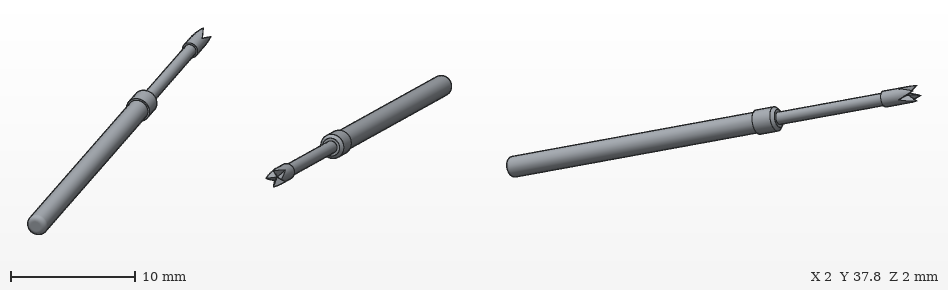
import cadquery as cq
import math

total_length = 37.8
front_y = total_length / 2
back_y = -front_y

barrel_length = 25.0
barrel_radius = 1.7 / 2
collar_radius = 2.0 / 2
collar_length = 1.93
collar_chamfer = 0.25
end_round_radius = 0.4

rod_radius = 1.02 / 2
head_radius = 1.32 / 2
head_length = 3.0

point_count = 4
crown_centre_depth = 0.85
crown_valley_depth = 1.45

collar_front_y = back_y + barrel_length
collar_back_y = collar_front_y - collar_length
shoulder_y = front_y - head_length


def turned_body():
    """Barrel, collar, rod and plain head, as a half profile (radius, y) revolved about Y."""
    arc_offset = end_round_radius * (1 - math.sqrt(0.5))
    chamfer_y = collar_front_y - collar_chamfer
    profile = (
        cq.Workplane("XY")
        .moveTo(0, back_y)
        .lineTo(barrel_radius - end_round_radius, back_y)
        .threePointArc(
            (barrel_radius - arc_offset, back_y + arc_offset),
            (barrel_radius, back_y + end_round_radius),
        )
        .lineTo(barrel_radius, collar_back_y)
        .lineTo(collar_radius, collar_back_y)
        .lineTo(collar_radius, chamfer_y)
        .lineTo(collar_radius - collar_chamfer, collar_front_y)
        .lineTo(rod_radius, collar_front_y)
        .lineTo(rod_radius, shoulder_y)
        .lineTo(head_radius, shoulder_y)
        .lineTo(head_radius, front_y)
        .lineTo(0, front_y)
        .close()
    )
    return profile.revolve(360, (0, 0, 0), (0, 1, 0))


def crown_groove(angle):
    """V groove whose floor falls from the crown centre outwards at the given angle about Y."""
    floor_drop = crown_valley_depth - crown_centre_depth
    floor_slope = floor_drop / head_radius
    half_step = math.pi / point_count
    ridge_slope = crown_centre_depth / head_radius
    wall_slope = (ridge_slope + floor_slope * math.cos(half_step)) / math.sin(half_step)

    floor_angle = math.atan(floor_slope)
    wall_height = 3 * crown_valley_depth
    half_width = wall_height / (wall_slope * math.cos(floor_angle))
    reach = 2 * head_radius
    floor_plane = cq.Plane(
        origin=(0, front_y - crown_centre_depth, 0),
        xDir=(0, 0, -1),
        normal=(math.cos(floor_angle), -math.sin(floor_angle), 0),
    )
    groove = (
        cq.Workplane(floor_plane)
        .polyline([(0, 0), (half_width, wall_height), (-half_width, wall_height)])
        .close()
        .extrude(reach, both=True)
    )
    return groove.rotate((0, 0, 0), (0, 1, 0), angle)


groove_spacing = 360 / point_count
result = turned_body()
for index in range(point_count):
    result = result.cut(crown_groove((index + 0.5) * groove_spacing))